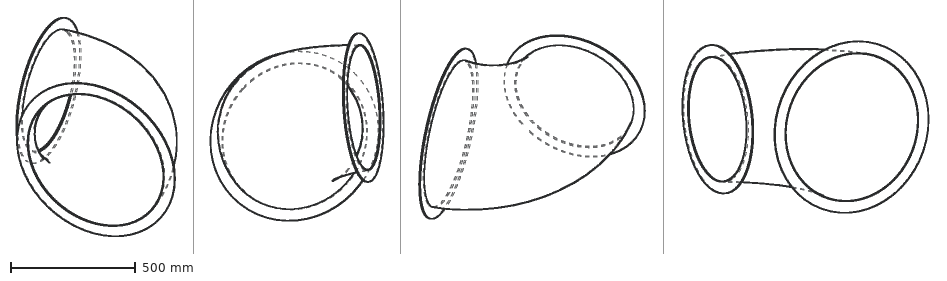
import cadquery as cq

inlet_bore = 600.0
outlet_bore = 500.0
wall = 3.0
inlet_flange_diameter = 700.0
outlet_flange_diameter = 600.0
flange_thickness = 6.0

overall_length = 750.0
bend_radius = overall_length - inlet_flange_diameter / 2

inlet_plane = cq.Plane(origin=(bend_radius, 0, 0), xDir=(1, 0, 0), normal=(0, 1, 0))
outlet_plane = cq.Plane(origin=(0, bend_radius, 0), xDir=(0, 1, 0), normal=(1, 0, 0))


def tapered_bend(inlet_diameter, outlet_diameter):
    """Solid quarter bend whose round section shrinks steadily from inlet to outlet."""
    centre_line = cq.Workplane("XY").moveTo(bend_radius, 0).radiusArc((0, bend_radius), -bend_radius)
    inlet_section = cq.Wire.makeCircle(inlet_diameter / 2, inlet_plane.origin, inlet_plane.zDir)
    outlet_section = cq.Wire.makeCircle(outlet_diameter / 2, outlet_plane.origin, -outlet_plane.zDir)
    return cq.Solid.sweep_multi([inlet_section, outlet_section], centre_line.val())


def make_pipe(envelope):
    """Thin-walled reducing elbow, open at both ends."""
    return envelope.cut(cq.Workplane(tapered_bend(inlet_bore, outlet_bore))).solids()


def make_flange(plane, diameter, envelope):
    """Flat ring from an end plane inward, with its hole fitted round the outside of the pipe."""
    disc = cq.Workplane(plane).circle(diameter / 2).extrude(flange_thickness)
    return disc.cut(envelope).solids()


pipe_envelope = cq.Workplane(tapered_bend(inlet_bore + 2 * wall, outlet_bore + 2 * wall))
pipe = make_pipe(pipe_envelope)
inlet_flange = make_flange(inlet_plane, inlet_flange_diameter, pipe_envelope)
outlet_flange = make_flange(outlet_plane, outlet_flange_diameter, pipe_envelope)

result = cq.Compound.makeCompound([pipe.val(), inlet_flange.val(), outlet_flange.val()])